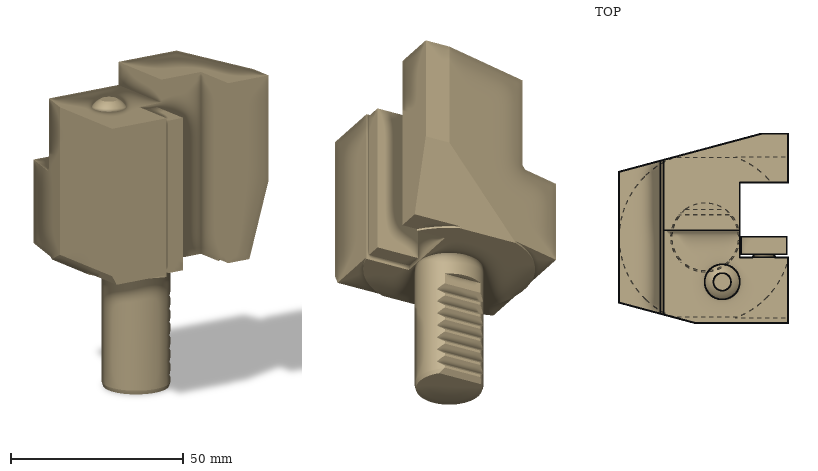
import cadquery as cq
import math


shank_radius = 10.0
shank_length = 39.5
tip_chamfer_height = 1.2
tip_chamfer_width = 0.4
flat_y = 8.1
flat_top_z = -6.9
tooth_count = 8
tooth_depth = 1.6
first_tooth_z = -11.7
last_tooth_z = -39.7
tooth_pitch = (first_tooth_z - last_tooth_z) / (tooth_count - 1)

head_left = -24.95
head_right = 24.1
head_front = -24.95
head_back = 30.05
head_height = 55.0
left_front_y = -19.0
left_back_y = 19.0
side_taper = math.radians(15)

front_relief_y = -23.1
front_relief_height = 3.4
back_relief_y = 23.15
back_relief_height = 23.15

flange_radius = 24.95
flange_height = 0.6

shoulder_x = -12.0
shoulder_z = 25.8
corner_bevel = 1.0
deck_z = 48.0
deck_back_y = 2.0
slot_x = 10.1
slot_front_y = -5.9
slot_back_y = 15.9

nozzle_x = 5.0
nozzle_y = -12.9
nozzle_base_radius = 5.1
nozzle_top_radius = 2.55
nozzle_sphere_radius = 6.0

plate_width = 13.3
plate_thickness = 5.2
plate_gap = 0.85
plate_end_inset = 0.9
screw_base_radius = 3.3
screw_taper = 0.4
screw_embed = 1.9


def box_between(x_range, y_range, z_range):
    """Axis-aligned box given by its limits along each axis."""
    sizes = [high - low for low, high in (x_range, y_range, z_range)]
    corner = (x_range[0], y_range[0], z_range[0])
    return cq.Workplane("XY").box(*sizes, centered=False).translate(corner)


def along_x(points):
    """Extrude a YZ outline over the full width of the head."""
    outline = cq.Workplane("YZ").workplane(offset=head_left).polyline(points).close()
    return outline.extrude(head_right - head_left)


def make_head():
    front_taper_x = head_left + (left_front_y - head_front) / math.tan(side_taper)
    back_taper_x = head_left + (head_back - left_back_y) / math.tan(side_taper)
    head = (
        cq.Workplane("XY")
        .polyline([
            (head_left, left_front_y),
            (front_taper_x, head_front),
            (head_right, head_front),
            (head_right, head_back),
            (back_taper_x, head_back),
            (head_left, left_back_y),
        ])
        .close()
        .extrude(head_height)
    )
    side_profile = along_x([
        (front_relief_y, 0),
        (back_relief_y, 0),
        (head_back, back_relief_height),
        (head_back, head_height),
        (deck_back_y, head_height),
        (deck_back_y, deck_z),
        (head_front, deck_z),
        (head_front, front_relief_height),
    ])
    return head.intersect(side_profile)


def make_shoulder_cut():
    """Step on the left side, with a bevel left in its inner corner."""
    return (
        cq.Workplane("XZ", origin=(0, head_back, 0))
        .polyline([
            (head_left, shoulder_z),
            (shoulder_x - corner_bevel, shoulder_z),
            (shoulder_x, shoulder_z + corner_bevel),
            (shoulder_x, head_height),
            (head_left, head_height),
        ])
        .close()
        .extrude(head_back - head_front)
    )


def make_tool_slot():
    return box_between((slot_x, head_right), (slot_front_y, slot_back_y), (0, head_height))


def make_flange_relief():
    """Thin layer around the round seating flange, to be removed from the head."""
    layer = box_between((head_left, head_right), (head_front, head_back), (0, flange_height))
    return layer.cut(cq.Workplane("XY").circle(flange_radius).extrude(flange_height))


def make_shank():
    tip_z = -shank_length
    shank = (
        cq.Workplane("XZ")
        .polyline([
            (0, flange_height),
            (shank_radius, flange_height),
            (shank_radius, tip_z + tip_chamfer_height),
            (shank_radius - tip_chamfer_width, tip_z),
            (0, tip_z),
        ])
        .close()
        .revolve(360, (0, 0, 0), (0, 1, 0))
    )
    flat = box_between((-shank_radius, shank_radius), (flat_y, shank_radius), (tip_z, flat_top_z))
    shank = shank.cut(flat)
    for index in range(tooth_count):
        tooth_z = first_tooth_z - index * tooth_pitch
        groove = along_x([
            (flat_y - tooth_depth, tooth_z),
            (flat_y, tooth_z + tooth_depth),
            (flat_y, tooth_z - tooth_depth),
        ])
        shank = shank.cut(groove)
    return shank


def make_nozzle():
    """Ball-shaped nozzle with a flat top, standing on the deck."""
    center_z = deck_z - math.sqrt(nozzle_sphere_radius**2 - nozzle_base_radius**2)
    top_z = center_z + math.sqrt(nozzle_sphere_radius**2 - nozzle_top_radius**2)
    middle_z = (deck_z + top_z) / 2
    middle_radius = math.sqrt(nozzle_sphere_radius**2 - (middle_z - center_z) ** 2)
    return (
        cq.Workplane("XZ")
        .moveTo(0, deck_z)
        .lineTo(nozzle_base_radius, deck_z)
        .threePointArc((middle_radius, middle_z), (nozzle_top_radius, top_z))
        .lineTo(0, top_z)
        .close()
        .revolve(360, (0, 0, 0), (0, 1, 0))
        .translate((nozzle_x, nozzle_y, 0))
    )


def make_clamp():
    """Clamping plate in the slot, held off the slot wall by a tapered screw end."""
    center_x = (slot_x + head_right) / 2
    plate_front = slot_front_y + plate_gap
    plate = box_between(
        (center_x - plate_width / 2, center_x + plate_width / 2),
        (plate_front, plate_front + plate_thickness),
        (plate_end_inset, deck_z - plate_end_inset),
    )
    screw = (
        cq.Workplane("XY")
        .polyline([
            (0, -screw_embed),
            (screw_base_radius, -screw_embed),
            (screw_base_radius, 0),
            (screw_base_radius - screw_taper, plate_gap),
            (0, plate_gap),
        ])
        .close()
        .revolve(360, (0, 0, 0), (0, 1, 0))
        .translate((center_x, slot_front_y, deck_z / 2))
    )
    return plate.union(screw)


head = make_head().cut(make_shoulder_cut()).cut(make_tool_slot()).cut(make_flange_relief())
result = head.union(make_shank()).union(make_nozzle()).union(make_clamp())